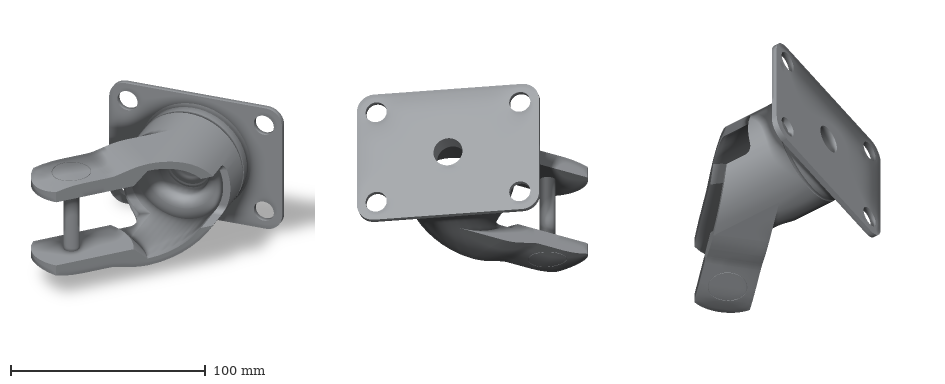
import cadquery as cq
import math


PLATE_LENGTH = 95.0
PLATE_WIDTH = 70.0
PLATE_THICKNESS = 3.0
PLATE_CORNER_RADIUS = 9.0
BOLT_SPACING_X = 75.0
BOLT_SPACING_Z = 50.0
BOLT_HOLE_DIAMETER = 11.0

BODY_RADIUS = 29.5
FLANGE_RADIUS = 30.2
FLANGE_BEVEL_RADIUS = 29.0
FLANGE_BEVEL_END = 3.9
NECK_RADIUS = 28.6
NECK_END = 5.2
RACE_CHAMFER = BODY_RADIUS - NECK_RADIUS
RACE_END = 10.8
GROOVE_RADIUS = 27.4
GROOVE_MIDDLE = 11.7
GROOVE_END = 12.5
BODY_LENGTH = 86.4
BORE_RADIUS = 25.5
FLOOR_DEPTH = 24.6

HUB_RADIUS = 13.6
HUB_INNER_RADIUS = 13.1
HUB_LIP_RADIUS = 5.8
HUB_DEPTH = 13.0
HUB_STEP_OUTER_RADIUS = 12.1
HUB_STEP_RADIUS = 11.3
HUB_STEP = 0.4
AXIS_HOLE_RADIUS = 7.6
AXIS_HOLE_LIP = 1.9

PIN_X = -36.1
PIN_Y = -87.2
ARM_WIDTH = 29.0
ARM_END_RADIUS = 20.8
ARM_INNER_Z = 18.4
ARM_ROOT_INNER_Z = 21.6
ARM_OUTER_Z = 26.1
ARM_FLAT_END = 14.8
OUTER_BEND_END = 37.5
BEND_ANGLE = 13.0
CONCAVE_BEND_RADIUS = 20.8
ARM_TIP_RADIUS = 62.6
PAD_RADIUS = 32.0
ARM_LENGTH = 86.4

PIN_RADIUS = 4.1
HEAD_RADIUS = 10.2
HEAD_GROOVE_WIDTH = 0.3
HEAD_GROOVE_DEPTH = 0.3

WINDOW_EDGE_X = -29.6
WINDOW_EDGE_Y = -32.4
WINDOW_ARC_START = (-20.7, -37.4)
WINDOW_ARC_MIDDLE = (-17.0, -44.6)
WINDOW_ARC_END = (-19.7, -50.5)
RELIEF_RADIUS = 28.4
RELIEF_DEPTH = 34.6
RELIEF_SLOT_DEPTH = 38.9
RELIEF_WIDTH = 2 * ARM_ROOT_INNER_Z
NOTCH_DEPTH = 30.0
NOTCH_WIDTH = 28.5
NOTCH_CORNER_RADIUS = 4.0

BIG = 216.0
OVERSHOOT = 1.1
DIAGONAL = math.sqrt(0.5)

arm_plane = cq.Plane(
    origin=(PIN_X, PIN_Y, 0),
    xDir=(DIAGONAL, DIAGONAL, 0),
    normal=(DIAGONAL, -DIAGONAL, 0),
)
fork_plane = cq.Plane(origin=(PIN_X, PIN_Y, 0), xDir=(DIAGONAL, DIAGONAL, 0), normal=(0, 0, 1))


def both_sides(solid):
    """The solid together with its mirror image below Z = 0."""
    return solid.union(solid.mirror("XY"))


def cylinder(radius, start, end):
    """A cylinder on the swivel axis between two depths."""
    return cq.Workplane("XZ", origin=(0, -start, 0)).circle(radius).extrude(end - start)


def make_plate():
    """Mounting plate with rounded corners, four bolt holes and the opening on the swivel axis."""
    plate = (
        cq.Workplane("XZ")
        .rect(PLATE_LENGTH, PLATE_WIDTH)
        .extrude(PLATE_THICKNESS)
        .edges("|Y")
        .fillet(PLATE_CORNER_RADIUS)
    )
    holes = (
        cq.Workplane("XZ")
        .rect(BOLT_SPACING_X, BOLT_SPACING_Z, forConstruction=True)
        .vertices()
        .circle(BOLT_HOLE_DIAMETER / 2)
        .extrude(PLATE_THICKNESS)
    )
    return plate.cut(holes).cut(cylinder(AXIS_HOLE_RADIUS, 0, PLATE_THICKNESS))


def make_turned_body():
    """Body of revolution with the neck, bearing race, groove, bore and hub opening."""
    lip_bottom = FLOOR_DEPTH - HUB_LIP_RADIUS
    lip_middle = HUB_LIP_RADIUS * (1 - DIAGONAL)
    hole_lip_middle = AXIS_HOLE_LIP * (1 - DIAGONAL)
    step_depth = HUB_DEPTH - HUB_STEP
    outline = (
        cq.Workplane("XY")
        .moveTo(AXIS_HOLE_RADIUS, 0)
        .lineTo(FLANGE_RADIUS, 0)
        .lineTo(FLANGE_RADIUS, -PLATE_THICKNESS)
        .lineTo(FLANGE_BEVEL_RADIUS, -FLANGE_BEVEL_END)
        .lineTo(NECK_RADIUS, -NECK_END)
        .lineTo(BODY_RADIUS, -NECK_END - RACE_CHAMFER)
        .lineTo(BODY_RADIUS, -RACE_END)
        .lineTo(GROOVE_RADIUS, -RACE_END)
        .lineTo(GROOVE_RADIUS, -GROOVE_MIDDLE)
        .lineTo(BODY_RADIUS - RACE_CHAMFER, -GROOVE_END)
        .lineTo(BODY_RADIUS, -GROOVE_END)
        .lineTo(BODY_RADIUS, -BODY_LENGTH)
        .lineTo(BORE_RADIUS, -BODY_LENGTH)
        .lineTo(BORE_RADIUS, -FLOOR_DEPTH)
        .lineTo(HUB_RADIUS + HUB_LIP_RADIUS, -FLOOR_DEPTH)
        .threePointArc(
            (HUB_RADIUS + lip_middle, -FLOOR_DEPTH + lip_middle),
            (HUB_RADIUS, -lip_bottom),
        )
        .lineTo(HUB_INNER_RADIUS, -HUB_DEPTH)
        .lineTo(HUB_STEP_OUTER_RADIUS, -HUB_DEPTH)
        .lineTo(HUB_STEP_RADIUS, -step_depth)
        .lineTo(AXIS_HOLE_RADIUS + AXIS_HOLE_LIP, -step_depth)
        .threePointArc(
            (AXIS_HOLE_RADIUS + hole_lip_middle, -step_depth + hole_lip_middle),
            (AXIS_HOLE_RADIUS, -step_depth + AXIS_HOLE_LIP),
        )
        .close()
    )
    return outline.revolve(360, (0, 0, 0), (0, 1, 0))


def make_lower_cut():
    """Everything beyond the lower edge of the fork."""
    return (
        cq.Workplane(fork_plane)
        .center(0, -ARM_WIDTH / 2 - BIG / 2)
        .rect(2 * BIG, BIG)
        .extrude(BIG / 2, both=True)
    )


def make_window():
    """Opening on the wheel side of the body and across the arms, cut through along Z."""
    slope = (WINDOW_ARC_START[1] - WINDOW_EDGE_Y) / (WINDOW_ARC_START[0] - WINDOW_EDGE_X)
    far_x = 2 * WINDOW_EDGE_X
    far_y = WINDOW_EDGE_Y + slope * (far_x - WINDOW_EDGE_X)
    lower_edge_y = PIN_Y - PIN_X - ARM_WIDTH / 2 / DIAGONAL
    return (
        cq.Workplane("XY")
        .moveTo(far_x, far_y)
        .lineTo(*WINDOW_ARC_START)
        .threePointArc(WINDOW_ARC_MIDDLE, WINDOW_ARC_END)
        .lineTo(0, lower_edge_y)
        .lineTo(0, -BIG)
        .lineTo(far_x, -BIG)
        .close()
        .extrude(BIG, both=True)
    )


def make_relief():
    """Widening of the bore behind the window, with a 45 degree bevel and flat sides."""
    bevel_start = RELIEF_DEPTH - (RELIEF_RADIUS - BORE_RADIUS)
    widening = (
        cq.Workplane("XY")
        .moveTo(0, -bevel_start)
        .lineTo(BORE_RADIUS, -bevel_start)
        .lineTo(RELIEF_RADIUS, -RELIEF_DEPTH)
        .lineTo(RELIEF_RADIUS, -BODY_LENGTH)
        .lineTo(0, -BODY_LENGTH)
        .close()
        .revolve(360, (0, 0, 0), (0, 1, 0))
    )
    limit = cq.Workplane("XY").box(BIG, BIG, RELIEF_WIDTH).translate((-BIG / 2, 0, 0))
    slot_x = -math.sqrt(BORE_RADIUS**2 - ARM_ROOT_INNER_Z**2)
    slot = (
        cq.Workplane("XY")
        .box(BIG, BIG, RELIEF_WIDTH)
        .translate((slot_x - BIG / 2, -RELIEF_SLOT_DEPTH - BIG / 2, 0))
    )
    return widening.intersect(limit).union(slot)


def make_notch():
    """Round-cornered notch through the wall opposite the wheel."""
    height = BODY_LENGTH - NOTCH_DEPTH
    return (
        cq.Workplane("XY")
        .box(BODY_RADIUS + OVERSHOOT, height, NOTCH_WIDTH, centered=(False, False, True))
        .translate((0, -BODY_LENGTH, 0))
        .edges("|X and >Y")
        .fillet(NOTCH_CORNER_RADIUS)
    )


def make_arm_blank(inset=0.0):
    """Upper arm before its tip is rounded, with the outer face lowered by the inset."""
    angle = math.radians(BEND_ANGLE)
    sine = math.sin(angle)
    drop = 1 - math.cos(angle)
    flat_z = ARM_OUTER_Z - inset
    root_z = BODY_RADIUS - inset
    ramp_start_x = ARM_FLAT_END + CONCAVE_BEND_RADIUS * sine
    ramp_start_z = flat_z + CONCAVE_BEND_RADIUS * drop
    run = OUTER_BEND_END - ramp_start_x
    rise = root_z - ramp_start_z
    convex_radius = (run * math.tan(angle) - rise) / (sine * math.tan(angle) - drop)
    ramp_end_x = OUTER_BEND_END - convex_radius * sine
    ramp_end_z = root_z - convex_radius * drop
    half = angle / 2
    concave_middle = (
        ARM_FLAT_END + CONCAVE_BEND_RADIUS * math.sin(half),
        flat_z + CONCAVE_BEND_RADIUS * (1 - math.cos(half)),
    )
    convex_middle = (
        OUTER_BEND_END - convex_radius * math.sin(half),
        root_z - convex_radius * (1 - math.cos(half)),
    )

    def tip_point(distance):
        fall = ARM_TIP_RADIUS - math.sqrt(ARM_TIP_RADIUS**2 - distance**2)
        return (-distance, flat_z - fall)

    tip = ARM_END_RADIUS + OVERSHOOT
    return (
        cq.Workplane(arm_plane)
        .moveTo(0, flat_z)
        .lineTo(ARM_FLAT_END, flat_z)
        .threePointArc(concave_middle, (ramp_start_x, ramp_start_z))
        .lineTo(ramp_end_x, ramp_end_z)
        .threePointArc(convex_middle, (OUTER_BEND_END, root_z))
        .lineTo(ARM_LENGTH, root_z)
        .lineTo(ARM_LENGTH, ARM_INNER_Z)
        .lineTo(-tip, ARM_INNER_Z)
        .lineTo(*tip_point(tip))
        .threePointArc(tip_point(tip / 2), (0, flat_z))
        .close()
        .extrude(ARM_WIDTH / 2, both=True)
    )


def make_pad():
    """Cone about the pin that keeps the arm thick beside the wheel and ends in a 45 degree step."""
    height = BODY_RADIUS - ARM_INNER_Z
    return (
        cq.Workplane("XZ", origin=(PIN_X, PIN_Y, ARM_INNER_Z))
        .lineTo(PAD_RADIUS, 0)
        .lineTo(PAD_RADIUS + height, height)
        .lineTo(0, height)
        .close()
        .revolve(360, (0, 0, 0), (0, 1, 0))
    )


def make_arm():
    """Upper arm with rounded tip, ending on the swivel axis and opened to the bore."""
    tip_disc = cq.Workplane("XY").center(PIN_X, PIN_Y).circle(ARM_END_RADIUS).extrude(BIG)
    shank = (
        cq.Workplane(fork_plane)
        .center(ARM_LENGTH / 2, 0)
        .rect(ARM_LENGTH, ARM_WIDTH)
        .extrude(BIG)
    )
    wheel_side = cq.Workplane("XY").box(BIG, BIG, BIG).translate((-BIG / 2, 0, 0))
    recess_height = ARM_ROOT_INNER_Z - ARM_INNER_Z
    recess = cq.Workplane("XY").workplane(offset=ARM_INNER_Z).rect(BIG, BIG).extrude(recess_height)
    hollow = recess.union(cylinder(BORE_RADIUS, FLOOR_DEPTH, BIG)).cut(make_pad())
    return make_arm_blank().intersect(tip_disc.union(shank)).intersect(wheel_side).cut(hollow)


def make_head_groove():
    """Fine groove that outlines the pin head in the outer face of the arm."""
    ring = (
        cq.Workplane("XY")
        .center(PIN_X, PIN_Y)
        .circle(HEAD_RADIUS)
        .circle(HEAD_RADIUS - HEAD_GROOVE_WIDTH)
        .extrude(BIG)
    )
    return make_arm_blank().cut(make_arm_blank(HEAD_GROOVE_DEPTH)).intersect(ring)


def make_pin():
    """Round wheel pin between the two arms."""
    return (
        cq.Workplane("XY")
        .workplane(offset=-ARM_INNER_Z)
        .center(PIN_X, PIN_Y)
        .circle(PIN_RADIUS)
        .extrude(2 * ARM_INNER_Z)
    )


body = make_turned_body()
for opening in (make_lower_cut(), make_window(), make_relief(), make_notch()):
    body = body.cut(opening)

result = (
    body.union(make_plate())
    .union(both_sides(make_arm().cut(make_head_groove())))
    .union(make_pin())
)